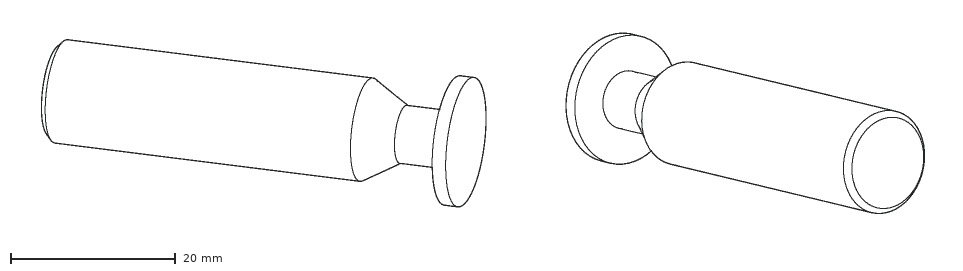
import cadquery as cq

total_length = 52.4
body_radius = 6.35
neck_radius = 3.55
flange_diameter = 15.9
flange_radius = flange_diameter / 2
flange_thickness = 1.75
neck_length = 6.25
taper_length = 4.7
end_chamfer = 0.75

flange_start = total_length - flange_thickness
neck_start = flange_start - neck_length
taper_start = neck_start - taper_length

half_profile = (
    cq.Workplane("XZ")
    .moveTo(0, 0)
    .lineTo(0, body_radius - end_chamfer)
    .lineTo(end_chamfer, body_radius)
    .lineTo(taper_start, body_radius)
    .lineTo(neck_start, neck_radius)
    .lineTo(flange_start, neck_radius)
    .lineTo(flange_start, flange_radius)
    .lineTo(total_length, flange_radius)
    .lineTo(total_length, 0)
    .close()
)
result = half_profile.revolve(360, (0, 0, 0), (1, 0, 0))